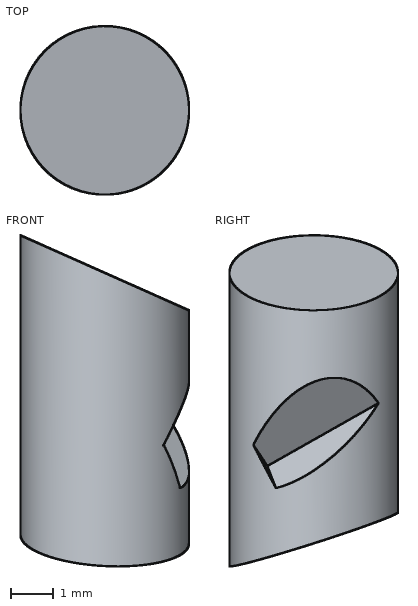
import cadquery as cq
import math

diameter = 4.0
radius = diameter / 2
height = 7.85

top_angle = 24.0
top_slope = -math.tan(math.radians(top_angle))

bottom_slope_x = -0.05
bottom_slope_y = 0.319

notch_corner = (0.985, -1.10, 2.38)
notch_azimuth = -38.8
notch_elevation = 43.6
notch_roll = -47.4

cutter_size = 3 * height


def cut_beyond(body, origin, normal):
    """Remove everything on the normal side of a plane."""
    plane = cq.Plane(origin=origin, normal=normal)
    cutter = cq.Workplane(plane).rect(cutter_size, cutter_size).extrude(cutter_size)
    return body.cut(cutter)


def cut_slanted_top(body):
    center_height = height - radius * abs(top_slope)
    return cut_beyond(body, (0, 0, center_height), (-top_slope, 0, 1))


def cut_slanted_bottom(body):
    center_height = radius * math.hypot(bottom_slope_x, bottom_slope_y)
    return cut_beyond(body, (0, 0, center_height), (bottom_slope_x, bottom_slope_y, -1))


def cut_corner_notch(body):
    """Cut with a tilted cube that has one corner inside the pin."""
    azimuth = math.radians(notch_azimuth)
    elevation = math.radians(notch_elevation)
    floor_normal = (
        math.cos(elevation) * math.cos(azimuth),
        math.cos(elevation) * math.sin(azimuth),
        math.sin(elevation),
    )
    level_direction = (-math.sin(azimuth), math.cos(azimuth), 0)
    floor_plane = cq.Plane(origin=notch_corner, xDir=level_direction, normal=floor_normal)
    floor_plane = floor_plane.rotated((0, 0, notch_roll))
    cube = cq.Workplane(floor_plane).box(cutter_size, cutter_size, cutter_size, centered=False)
    return body.cut(cube)


pin = cq.Workplane("XY").circle(radius).extrude(height)
pin = cut_slanted_top(pin)
pin = cut_slanted_bottom(pin)
result = cut_corner_notch(pin)